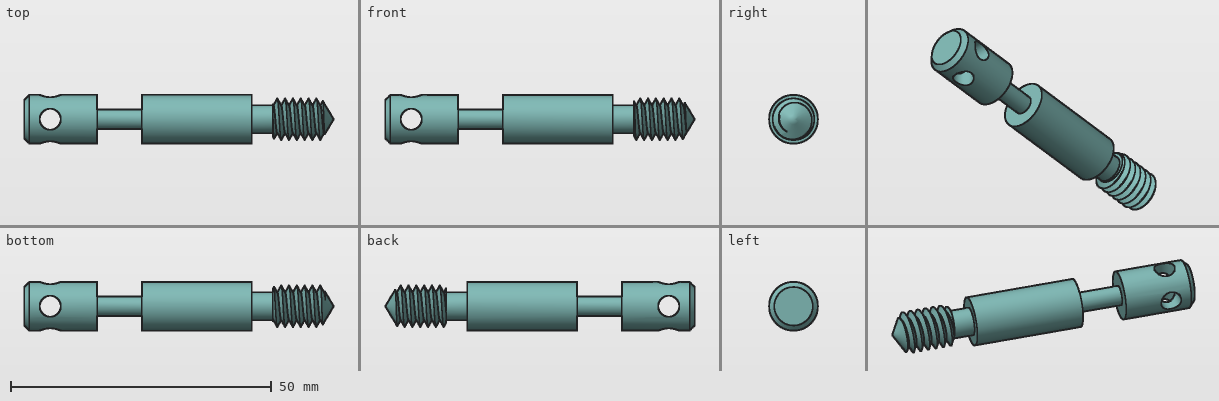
import cadquery as cq
import math

total_length = 59.4
body_diameter = 9.4

head_length = 14.0
head_chamfer = 1.0
cross_hole_diameter = 4.0
cross_hole_x = 5.0

neck_diameter = 3.8
neck_length = 8.6
body_length = 21.1
shank_diameter = 5.4
shank_length = 4.0

thread_diameter = 8.0
thread_pitch = 1.5
thread_phase_x = 1.225
overrun_turns = 2
root_land = 0.03
root_overlap = 0.03
lead_in_diameter = 6.8
lead_in_length = 0.35
point_angle = 118.0

body_radius = body_diameter / 2
neck_radius = neck_diameter / 2
shank_radius = shank_diameter / 2
thread_radius = thread_diameter / 2
lead_in_radius = lead_in_diameter / 2

neck_start = head_length
body_start = neck_start + neck_length
shank_start = body_start + body_length
thread_start = shank_start + shank_length


def point_base_x(radius):
    """X at which the point's cone has the given radius."""
    return total_length - radius / math.tan(math.radians(point_angle / 2))


def make_turned_pin():
    """Head, neck, body and shank as one revolved profile."""
    return (
        cq.Workplane("XY")
        .moveTo(0, 0)
        .lineTo(0, body_radius - head_chamfer)
        .lineTo(head_chamfer, body_radius)
        .lineTo(neck_start, body_radius)
        .lineTo(neck_start, neck_radius)
        .lineTo(body_start, neck_radius)
        .lineTo(body_start, body_radius)
        .lineTo(shank_start, body_radius)
        .lineTo(shank_start, shank_radius)
        .lineTo(thread_start, shank_radius)
        .lineTo(thread_start, 0)
        .close()
        .revolve(360, (0, 0, 0), (1, 0, 0))
    )


def make_cross_hole(plane):
    """Cutter for one hole right through the head, normal to the plane."""
    return (
        cq.Workplane(plane)
        .center(cross_hole_x, 0)
        .circle(cross_hole_diameter / 2)
        .extrude(body_diameter, both=True)
    )


def make_thread_envelope():
    """Space the thread may fill: conical lead-in at its start, cone to the point."""
    outer_radius = body_radius
    return (
        cq.Workplane("XY")
        .moveTo(thread_start, 0)
        .lineTo(thread_start, lead_in_radius)
        .lineTo(thread_start + lead_in_length, thread_radius)
        .lineTo(thread_start + lead_in_length, outer_radius)
        .lineTo(point_base_x(outer_radius), outer_radius)
        .lineTo(total_length, 0)
        .close()
        .revolve(360, (0, 0, 0), (1, 0, 0))
    )


def make_axis_wire(start_x):
    """Straight wire on the pin's axis that keeps the ridge upright."""
    axis = cq.Edge.makeLine(cq.Vector(start_x, 0, 0), cq.Vector(total_length, 0, 0))
    return cq.Wire.assembleEdges([axis])


def make_thread_ridge():
    """Triangular ridge swept along a helix that overruns both thread ends."""
    first_crest_x = thread_start + thread_phase_x - overrun_turns * thread_pitch
    helix_length = total_length - first_crest_x
    base_radius = shank_radius - root_overlap
    half_base = (thread_pitch - root_land) / 2

    helix = cq.Wire.makeHelix(
        thread_pitch,
        helix_length,
        shank_radius,
        center=cq.Vector(first_crest_x, 0, 0),
        dir=cq.Vector(1, 0, 0),
    )
    axis = make_axis_wire(first_crest_x)
    return (
        cq.Workplane("XZ")
        .moveTo(first_crest_x - half_base, base_radius)
        .lineTo(first_crest_x, thread_radius)
        .lineTo(first_crest_x + half_base, base_radius)
        .close()
        .sweep(cq.Workplane(obj=helix), auxSpine=cq.Workplane(obj=axis))
    )


def make_thread():
    """Threaded core trimmed to the lead-in and the point."""
    core = (
        cq.Workplane("YZ", origin=(thread_start, 0, 0))
        .circle(shank_radius)
        .extrude(total_length - thread_start)
    )
    return core.union(make_thread_ridge()).intersect(make_thread_envelope())


result = make_turned_pin().union(make_thread())
for hole_plane in ("XY", "XZ"):
    result = result.cut(make_cross_hole(hole_plane))